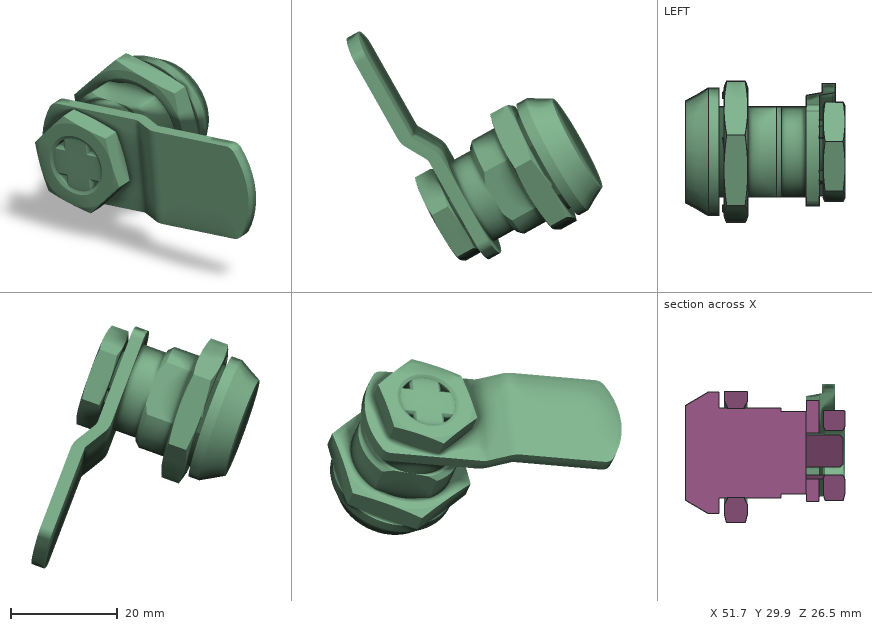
import cadquery as cq
import math

AXIS_START = (0, 0, 0)
AXIS_END = (0, -1, 0)

CAP_TOP_RADIUS = 9.55
CAP_RADIUS = 12.0
CONE_DEPTH = 4.3
CAP_DEPTH = 6.3
BODY_RADIUS = 10.05
BODY_CHAMFER = 0.95
BODY_DEPTH = 18.0
FLAT_DISTANCE = 17.0
HOUSING_DEPTH = 22.65

HEXAGON_SIDES = 6
NUT_CHAMFER_ANGLE = 15.0
COUNTERSINK_SLOPE_ANGLE = 30.0
LOCK_NUT_ACROSS_FLATS = 24.0
LOCK_NUT_BORE_RADIUS = 9.1
LOCK_NUT_MOUTH_RADIUS = 10.3
LOCK_NUT_ANGLE = 46.8
LOCK_NUT_START = 7.25
LOCK_NUT_THICKNESS = 4.45
END_NUT_ACROSS_FLATS = 17.05
END_NUT_BORE_RADIUS = 5.4
END_NUT_MOUTH_RADIUS = 6.0
END_NUT_ANGLE = 48.6
END_NUT_THICKNESS = 4.1
TOTAL_DEPTH = 29.9
END_NUT_START = TOTAL_DEPTH - END_NUT_THICKNESS

TOOTH_COUNT = 4
TOOTH_HEIGHT = 0.25
TOOTH_OUTER_RADIUS = 11.45
TOOTH_SPAN = 10.0
TOOTH_STEP_ANGLE = 76.5

LEVER_ANGLE = 5.7
LEVER_WIDTH = 19.0
LEVER_THICKNESS = 2.5
LEVER_OFFSET = 3.0
LEVER_NEAR_END = 11.0
LEVER_FAR_END = 38.3
LEVER_END_RADIUS = 16.0
LEVER_CORNER_RADIUS = 2.0
RAMP_START = 11.6
RAMP_ANGLE = 30.0
TIGHT_BEND_RADIUS = 2.0
WIDE_BEND_RADIUS = 4.0

SHAFT_RADIUS = 6.0
SHAFT_END = 29.55
CROSS_HALF_WIDTH = 3.0
CROSS_CHAMFER = 0.5
CROSS_CLEARANCE = 0.3
QUARTER_ANGLES = (0, 90, 180, 270)


def turn(shape, angle):
    """Turn a shape about the lock axis."""
    return shape.rotate(AXIS_START, AXIS_END, angle)


def revolve_profile(points):
    """Revolve (radius, depth) points about the lock axis."""
    outline = [(radius, -depth) for radius, depth in points]
    return cq.Workplane("XY").polyline(outline).close().revolve(360, (0, 0, 0), (0, 1, 0))


def cross_plane(depth):
    """Workplane across the lock axis, facing -Y."""
    return cq.Workplane("XZ", origin=(0, -depth, 0))


def make_nut(start, thickness, across_flats, bore_radius, mouth_radius, angle):
    """Hexagon nut with both faces chamfered and both mouths of the bore countersunk."""
    face_radius = across_flats / 2
    corner_radius = face_radius / math.cos(math.pi / HEXAGON_SIDES)
    corner_drop = (corner_radius - face_radius) * math.tan(math.radians(NUT_CHAMFER_ANGLE))
    mouth_depth = (mouth_radius - bore_radius) * math.tan(math.radians(COUNTERSINK_SLOPE_ANGLE))
    end = start + thickness
    envelope = revolve_profile([
        (mouth_radius, start),
        (face_radius, start),
        (corner_radius, start + corner_drop),
        (corner_radius, end - corner_drop),
        (face_radius, end),
        (mouth_radius, end),
        (bore_radius, end - mouth_depth),
        (bore_radius, start + mouth_depth),
    ])
    hexagon = cross_plane(start).polygon(HEXAGON_SIDES, 2 * corner_radius).extrude(thickness)
    return turn(hexagon, angle).intersect(envelope)


def make_ratchet_tooth():
    """Tooth that rises from the nut's face to a radial step, along an arc round the bore."""
    length = TOOTH_OUTER_RADIUS * math.radians(TOOTH_SPAN)
    ramp = (
        cq.Workplane("XY")
        .polyline([(0, -LOCK_NUT_START), (0, TOOTH_HEIGHT - LOCK_NUT_START), (-length, -LOCK_NUT_START)])
        .close()
        .extrude(TOOTH_OUTER_RADIUS)
    )
    ring = (
        cross_plane(LOCK_NUT_START - TOOTH_HEIGHT)
        .circle(TOOTH_OUTER_RADIUS)
        .circle(LOCK_NUT_MOUTH_RADIUS)
        .extrude(TOOTH_HEIGHT)
    )
    return ramp.intersect(ring)


def make_lock_nut():
    """Large nut on the housing thread, with ratchet teeth facing the cap."""
    nut = make_nut(
        LOCK_NUT_START,
        LOCK_NUT_THICKNESS,
        LOCK_NUT_ACROSS_FLATS,
        LOCK_NUT_BORE_RADIUS,
        LOCK_NUT_MOUTH_RADIUS,
        LOCK_NUT_ANGLE,
    )
    upright = 90
    for index in range(TOOTH_COUNT):
        step_angle = TOOTH_STEP_ANGLE + index * 360 / TOOTH_COUNT
        nut = nut.union(turn(make_ratchet_tooth(), step_angle - upright))
    return nut


def make_end_nut():
    """Small nut that holds the lever on the shaft."""
    return make_nut(
        END_NUT_START,
        END_NUT_THICKNESS,
        END_NUT_ACROSS_FLATS,
        END_NUT_BORE_RADIUS,
        END_NUT_MOUTH_RADIUS,
        END_NUT_ANGLE,
    )


def make_housing(lock_nut):
    """Cap, threaded body and plain end; the body is grooved where the nut's thread bites."""
    cap = revolve_profile([
        (0, 0),
        (CAP_TOP_RADIUS, 0),
        (CAP_RADIUS, CONE_DEPTH),
        (CAP_RADIUS, CAP_DEPTH),
        (0, CAP_DEPTH),
    ])
    body_length = BODY_DEPTH - CAP_DEPTH
    body = cross_plane(CAP_DEPTH).circle(BODY_RADIUS).extrude(body_length)
    body = body.faces("<Y").chamfer(BODY_CHAMFER)
    between_flats = cross_plane(CAP_DEPTH).rect(2 * BODY_RADIUS, FLAT_DISTANCE).extrude(body_length)
    plain_end = cross_plane(BODY_DEPTH).circle(FLAT_DISTANCE / 2).extrude(HOUSING_DEPTH - BODY_DEPTH)
    return cap.union(body.intersect(between_flats)).union(plain_end).cut(lock_nut)


def make_notch(start, end, start_half_width, end_half_width):
    """Corner block between two arms of a cross, lofted where it widens."""
    start_side = SHAFT_RADIUS - start_half_width
    end_side = SHAFT_RADIUS - end_half_width
    start_middle = start_half_width + start_side / 2
    end_middle = end_half_width + end_side / 2
    return (
        cross_plane(start)
        .center(start_middle, start_middle)
        .rect(start_side, start_side)
        .workplane(offset=end - start)
        .center(end_middle - start_middle, end_middle - start_middle)
        .rect(end_side, end_side)
        .loft(ruled=True)
    )


def make_shaft(end_nut):
    """Round shaft notched into a cross, with the sides of the arms chamfered at the tip."""
    shaft = cross_plane(HOUSING_DEPTH).circle(SHAFT_RADIUS).extrude(SHAFT_END - HOUSING_DEPTH)
    tip_half_width = CROSS_HALF_WIDTH - CROSS_CHAMFER
    straight = make_notch(HOUSING_DEPTH, SHAFT_END, CROSS_HALF_WIDTH, CROSS_HALF_WIDTH)
    chamfer = make_notch(SHAFT_END - CROSS_CHAMFER, SHAFT_END, CROSS_HALF_WIDTH, tip_half_width)
    for angle in QUARTER_ANGLES:
        shaft = shaft.cut(turn(straight, angle)).cut(turn(chamfer, angle))
    return turn(shaft, LEVER_ANGLE).cut(end_nut)


def make_lever_strip():
    """Cranked strip: two parallel flats joined by a ramp, with all but one bend rounded."""
    back = -HOUSING_DEPTH
    front = back - LEVER_THICKNESS
    ramp_end = RAMP_START + LEVER_OFFSET / math.tan(math.radians(RAMP_ANGLE))
    near_back = (RAMP_START, back)
    near_front = (RAMP_START, front)
    far_back = (ramp_end, back - LEVER_OFFSET)
    far_front = (ramp_end, front - LEVER_OFFSET)
    strip = (
        cq.Workplane("XY")
        .polyline([
            (-LEVER_NEAR_END, back),
            near_back,
            far_back,
            (LEVER_FAR_END, back - LEVER_OFFSET),
            (LEVER_FAR_END, front - LEVER_OFFSET),
            far_front,
            near_front,
            (-LEVER_NEAR_END, front),
        ])
        .close()
        .extrude(LEVER_WIDTH / 2, both=True)
    )
    bends = [
        (near_back, WIDE_BEND_RADIUS),
        (near_front, TIGHT_BEND_RADIUS),
        (far_front, WIDE_BEND_RADIUS),
    ]
    for (x, y), radius in bends:
        strip = strip.edges(cq.selectors.NearestToPointSelector((x, y, 0))).fillet(radius)
    return strip


def make_lever_outline():
    """Block with the lever's outline: straight sides, bowed ends and rounded corners."""
    half_width = LEVER_WIDTH / 2
    bow = LEVER_END_RADIUS - math.sqrt(LEVER_END_RADIUS**2 - half_width**2)
    near_corner = -LEVER_NEAR_END + bow
    far_corner = LEVER_FAR_END - bow
    return (
        cross_plane(HOUSING_DEPTH)
        .moveTo(near_corner, half_width)
        .lineTo(far_corner, half_width)
        .threePointArc((LEVER_FAR_END, 0), (far_corner, -half_width))
        .lineTo(near_corner, -half_width)
        .threePointArc((-LEVER_NEAR_END, 0), (near_corner, half_width))
        .close()
        .extrude(LEVER_THICKNESS + LEVER_OFFSET)
        .edges("|Y")
        .fillet(LEVER_CORNER_RADIUS)
    )


def make_lever():
    """Cranked lever with a cross-shaped hole for the shaft."""
    lever_front = HOUSING_DEPTH + LEVER_THICKNESS
    hole_half_width = CROSS_HALF_WIDTH + CROSS_CLEARANCE
    hole = cross_plane(HOUSING_DEPTH).circle(SHAFT_RADIUS).extrude(LEVER_THICKNESS)
    tab = make_notch(HOUSING_DEPTH, lever_front, hole_half_width, hole_half_width)
    for angle in QUARTER_ANGLES:
        hole = hole.cut(turn(tab, angle))
    lever = make_lever_strip().intersect(make_lever_outline()).cut(hole)
    return turn(lever, LEVER_ANGLE)


lock_nut = make_lock_nut()
end_nut = make_end_nut()
housing = make_housing(lock_nut)
shaft = make_shaft(end_nut)
lever = make_lever()

result = cq.Compound.makeCompound([
    housing.solids().val(),
    lock_nut.solids().val(),
    shaft.solids().val(),
    lever.solids().val(),
    end_nut.solids().val(),
])